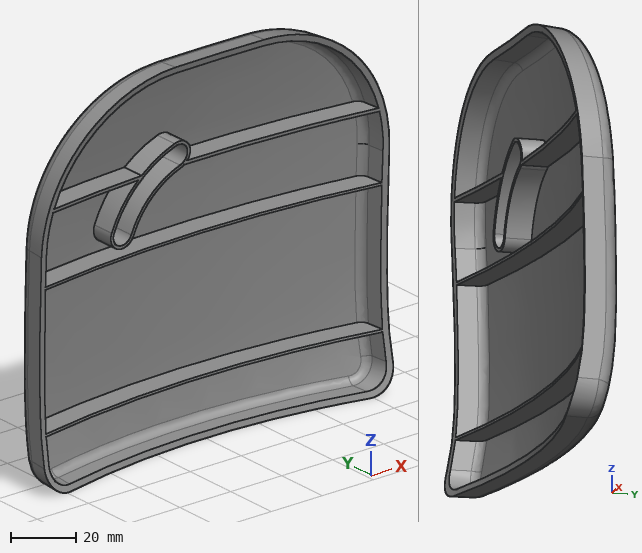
import cadquery as cq
import math

WIDTH = 136.9
HEIGHT = 130.9
TOP_RADIUS = 51.0
BOTTOM_RADIUS = 10.0
DRAFT_ANGLE = 5.0

DEPTH = 10.7
WALL = 2.2
FLOOR = 2.2
OUTER_FILLET = 5.2
INNER_FILLET = 3.0

CROWN_HALF_WIDTH = 72.0
CROWN_STATIONS = [
    (-4.0, 16.8, 11.9),
    (10.0, 19.4, 8.8),
    (36.0, 20.15, 6.9),
    (80.0, 18.5, 6.1),
    (110.0, 15.0, 5.7),
    (135.0, 9.9, 4.7),
]

RIBS = [(19.8, 0.9), (68.7, 0.9), (94.5, 1.2)]

SLOT_CENTRE_Z = 65.0
SLOT_PATH_RADIUS = 35.0
SLOT_START_ANGLE = 110.0
SLOT_END_ANGLE = 160.0
SLOT_HALF_WIDTH = 3.9
BOSS_HALF_WIDTH = 5.0

FRONT_Y = -5.0
BACK_Y = 25.0
BLOCK_FRONT_Y = -20.0


def outline_wire(y, inset):
    """Outline at depth y, moved inwards by inset; it narrows towards the back."""
    lean = y * math.tan(math.radians(DRAFT_ANGLE))
    half_width = WIDTH / 2 - lean - inset
    top = HEIGHT - lean - inset
    bottom = inset
    top_radius = TOP_RADIUS - lean - inset
    bottom_radius = BOTTOM_RADIUS - inset
    diagonal = math.sqrt(0.5)
    top_x = half_width - top_radius
    top_z = top - top_radius
    bottom_x = half_width - bottom_radius
    bottom_z = bottom + bottom_radius
    top_reach = top_radius * diagonal
    bottom_reach = bottom_radius * diagonal
    return (
        cq.Workplane("XZ", origin=(0, y, 0))
        .moveTo(-bottom_x, bottom)
        .lineTo(bottom_x, bottom)
        .threePointArc((bottom_x + bottom_reach, bottom_z - bottom_reach), (half_width, bottom_z))
        .lineTo(half_width, top_z)
        .threePointArc((top_x + top_reach, top_z + top_reach), (top_x, top))
        .lineTo(-top_x, top)
        .threePointArc((-top_x - top_reach, top_z + top_reach), (-half_width, top_z))
        .lineTo(-half_width, bottom_z)
        .threePointArc((-bottom_x - bottom_reach, bottom_z - bottom_reach), (-bottom_x, bottom))
        .close()
        .val()
    )


def drafted_prism(inset):
    wires = [outline_wire(FRONT_Y, inset), outline_wire(BACK_Y, inset)]
    return cq.Workplane(cq.Solid.makeLoft(wires, True))


def crowned_block(offset):
    """Everything in front of the crowned back moved forwards by offset."""
    wires = []
    for z, crown_y, sag in CROWN_STATIONS:
        peak = crown_y - offset
        edge = peak - sag
        wire = (
            cq.Workplane("XY", origin=(0, 0, z))
            .moveTo(-CROWN_HALF_WIDTH, BLOCK_FRONT_Y)
            .lineTo(CROWN_HALF_WIDTH, BLOCK_FRONT_Y)
            .lineTo(CROWN_HALF_WIDTH, edge)
            .threePointArc((0, peak), (-CROWN_HALF_WIDTH, edge))
            .close()
            .val()
        )
        wires.append(wire)
    return cq.Workplane(cq.Solid.makeLoft(wires, False))


def rounded_body(inset, offset, radius):
    """Drafted prism closed by the crowned face, with the edge around that face rounded."""
    body = drafted_prism(inset).intersect(crowned_block(offset))
    back_edges = body.faces(">Y").edges()
    return body.newObject(back_edges.vals()).fillet(radius)


def polar_point(centre, radius, angle):
    turn = math.radians(angle)
    return (centre[0] + radius * math.cos(turn), centre[1] + radius * math.sin(turn))


def curved_slot(half_width):
    """Prism through the whole depth along the slot path, with round ends."""
    centre = (0, SLOT_CENTRE_Z)
    inner = SLOT_PATH_RADIUS - half_width
    outer = SLOT_PATH_RADIUS + half_width
    middle_angle = (SLOT_START_ANGLE + SLOT_END_ANGLE) / 2
    start_centre = polar_point(centre, SLOT_PATH_RADIUS, SLOT_START_ANGLE)
    end_centre = polar_point(centre, SLOT_PATH_RADIUS, SLOT_END_ANGLE)
    start_tip = polar_point(start_centre, half_width, SLOT_START_ANGLE - 90)
    end_tip = polar_point(end_centre, half_width, SLOT_END_ANGLE + 90)
    outer_start = polar_point(centre, outer, SLOT_START_ANGLE)
    outer_middle = polar_point(centre, outer, middle_angle)
    outer_end = polar_point(centre, outer, SLOT_END_ANGLE)
    inner_start = polar_point(centre, inner, SLOT_START_ANGLE)
    inner_middle = polar_point(centre, inner, middle_angle)
    inner_end = polar_point(centre, inner, SLOT_END_ANGLE)
    return (
        cq.Workplane("XZ", origin=(0, FRONT_Y, 0))
        .moveTo(*outer_start)
        .threePointArc(outer_middle, outer_end)
        .threePointArc(end_tip, inner_end)
        .threePointArc(inner_middle, inner_start)
        .threePointArc(start_tip, outer_start)
        .close()
        .extrude(FRONT_Y - BACK_Y)
    )


def rib(z, thickness):
    length_y = BACK_Y - FRONT_Y
    middle_y = (FRONT_Y + BACK_Y) / 2
    return cq.Workplane("XY", origin=(0, middle_y, z)).box(WIDTH, length_y, thickness)


def stiffeners():
    """Ribs and slot boss, oversized; only the part inside the cavity is kept."""
    solid = curved_slot(BOSS_HALF_WIDTH)
    for z, thickness in RIBS:
        solid = solid.union(rib(z, thickness))
    return solid


body = rounded_body(0, 0, OUTER_FILLET)
cavity = rounded_body(WALL, FLOOR, INNER_FILLET).cut(stiffeners())
front_waste = crowned_block(DEPTH)

result = body.cut(cavity).cut(curved_slot(SLOT_HALF_WIDTH)).cut(front_waste)